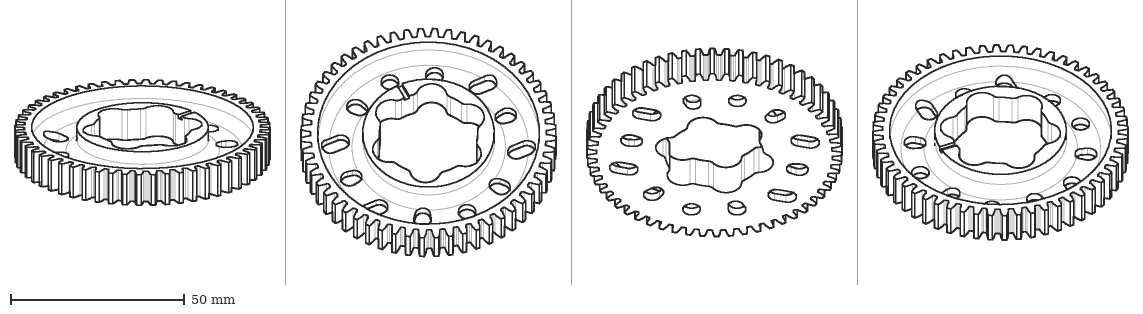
import cadquery as cq
import math

overall_size = 73.6
height = 9.5

tooth_count = 56
pressure_angle = math.radians(14.5)
addendum_factor = 1.0
dedendum_factor = 1.25
flank_points = 6

rim_inner_radius = 32.0
hub_radius = 19.0
web_thickness = 2.5
recess_fillet = 3.2

bore_radius = 14.2
lobe_radius = 4.5
lobe_circle_radius = 12.9
lobe_count = 6
bore_corner_fillet = 2.0

groove_width = 1.55
groove_depth = 1.1

hole_circle_radius = 25.4
hole_radius = 2.5
slot_half_width = 2.4
slot_angle = math.radians(30)
taper_end_radius = 2.2
taper_circle_radius = 23.85
tapered_hole_count = 6


def polar(radius, angle):
    """Point at the given radius and angle (radians)."""
    return (radius * math.cos(angle), radius * math.sin(angle))


def involute(roll_angle):
    """Involute function of a pressure angle in radians."""
    return math.tan(roll_angle) - roll_angle


tooth_pitch = 2 * math.pi / tooth_count
base_ratio = tooth_count / 2 * math.cos(pressure_angle)
tip_ratio = tooth_count / 2 + addendum_factor
base_half_angle = tooth_pitch / 4 + involute(pressure_angle)
tip_half_angle = base_half_angle - involute(math.acos(base_ratio / tip_ratio))
tip_radius = overall_size / 2 / math.cos(tooth_pitch / 2 - tip_half_angle)
module = tip_radius / tip_ratio
base_radius = module * base_ratio
root_radius = module * (tooth_count / 2 - dedendum_factor)

root_fillet = (base_radius**2 - root_radius**2) / (2 * root_radius)
fillet_angle = math.atan(root_fillet / base_radius)
root_half_angle = base_half_angle + fillet_angle


def right_flank(centre):
    """Involute points from base circle to tip on the clockwise side of a tooth."""
    points = []
    for i in range(flank_points):
        radius = base_radius + (tip_radius - base_radius) * i / (flank_points - 1)
        half_angle = base_half_angle - involute(math.acos(base_radius / radius))
        points.append(polar(radius, centre - half_angle))
    return points


def left_flank(centre):
    """Mirror image of the right flank, from tip down to base circle."""
    points = []
    for x, y in reversed(right_flank(0)):
        points.append(polar(math.hypot(x, y), centre + math.atan2(-y, x)))
    return points


def fillet_middle(centre, side):
    """Middle of the root fillet on one side (+1 or -1) of a tooth."""
    angle = centre + side * root_half_angle
    centre_x, centre_y = polar(root_radius + root_fillet, angle)
    facing = angle + math.pi + side * (math.pi / 4 - fillet_angle / 2)
    offset_x, offset_y = polar(root_fillet, facing)
    return (centre_x + offset_x, centre_y + offset_y)


def gear_blank():
    """Solid toothed disc with rounded tooth roots."""
    outline = cq.Workplane("XY").moveTo(*polar(root_radius, tooth_pitch / 2 - root_half_angle))
    for i in range(tooth_count):
        centre = (i + 0.5) * tooth_pitch
        rising = right_flank(centre)
        falling = left_flank(centre)
        gap_start = polar(root_radius, centre + root_half_angle)
        gap_middle = polar(root_radius, centre + tooth_pitch / 2)
        gap_end = polar(root_radius, centre + tooth_pitch - root_half_angle)

        outline = outline.threePointArc(fillet_middle(centre, -1), rising[0])
        outline = outline.spline(rising[1:], includeCurrent=True)
        outline = outline.threePointArc(polar(tip_radius, centre), falling[0])
        outline = outline.spline(falling[1:], includeCurrent=True)
        outline = outline.threePointArc(fillet_middle(centre, 1), gap_start)
        outline = outline.threePointArc(gap_middle, gap_end)
    return outline.close().extrude(height)


def recess():
    """Ring cut from the top, with rounded bottom corners."""
    ring = cq.Workplane("XY").workplane(offset=web_thickness)
    ring = ring.circle(rim_inner_radius).circle(hub_radius).extrude(height - web_thickness)
    return ring.faces("<Z").edges().fillet(recess_fillet)


def bore():
    """Round bore merged with six lobes, joined by rounded corners."""
    cutter = cq.Workplane("XY").circle(bore_radius).extrude(height)
    lobes = cq.Workplane("XY").polarArray(lobe_circle_radius, 0, 360, lobe_count)
    cutter = cutter.union(lobes.circle(lobe_radius).extrude(height))
    return cutter.edges("|Z").fillet(bore_corner_fillet)


def groove():
    """Straight groove from the bore out through the +Y side of the hub."""
    bottom = cq.Workplane("XY").workplane(offset=height - groove_depth)
    return bottom.center(0, hub_radius / 2).rect(groove_width, hub_radius).extrude(groove_depth)


def round_hole(angle):
    """Plain round hole on the hole circle."""
    centre = polar(hole_circle_radius, angle)
    return cq.Workplane("XY").center(*centre).circle(hole_radius).extrude(height)


def tapered_hole(angle):
    """Hole on the hole circle tapering inward to a smaller round end."""
    spread = hole_circle_radius - taper_circle_radius
    lean = math.acos((hole_radius - taper_end_radius) / spread)
    wide_x = hole_circle_radius - hole_radius * math.cos(lean)
    wide_y = hole_radius * math.sin(lean)
    small_x = taper_circle_radius - taper_end_radius * math.cos(lean)
    small_y = taper_end_radius * math.sin(lean)
    outline = cq.Workplane("XY").moveTo(wide_x, -wide_y)
    outline = outline.threePointArc((hole_circle_radius + hole_radius, 0), (wide_x, wide_y))
    outline = outline.lineTo(small_x, small_y)
    outline = outline.threePointArc((taper_circle_radius - taper_end_radius, 0), (small_x, -small_y))
    hole = outline.close().extrude(height)
    return hole.rotate((0, 0, 0), (0, 0, 1), math.degrees(angle))


def straight_slots():
    """Four slots along X, from the slot angle on the hole circle out to its full X reach."""
    inner_x, centre_y = polar(hole_circle_radius, slot_angle)
    centre_x = (inner_x + hole_circle_radius) / 2
    length = hole_circle_radius - inner_x + 2 * slot_half_width
    slots = cq.Workplane("XY").rect(2 * centre_x, 2 * centre_y, forConstruction=True).vertices()
    return slots.slot2D(length, 2 * slot_half_width).extrude(height)


result = gear_blank().cut(recess()).cut(bore()).cut(groove()).cut(straight_slots())
for side in (1, -1):
    result = result.cut(round_hole(side * math.pi / 2))
for i in range(tapered_hole_count):
    result = result.cut(tapered_hole(i * 2 * math.pi / tapered_hole_count))